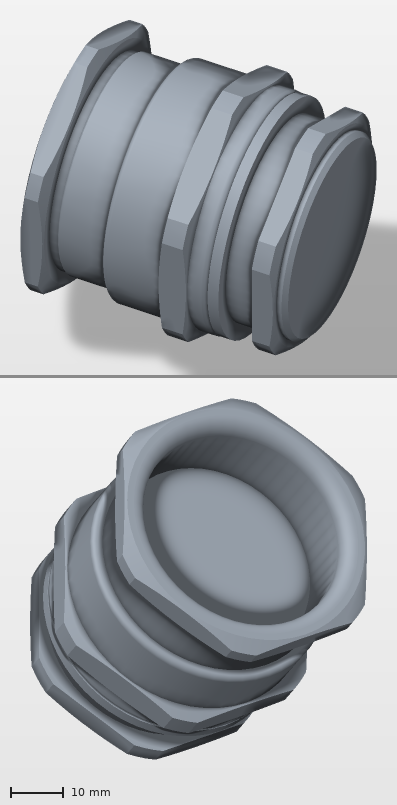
import cadquery as cq
import math

LENGTH = 53.95

LARGE_CORNER_RADIUS = 27.5
LARGE_ACROSS_FLATS = 50.0
LARGE_FACE_RADIUS = 24.55
ENTRY_NUT_START = 0.0
ENTRY_NUT_END = 4.95
ENTRY_NUT_BEVEL = 1.1
MIDDLE_HEX_START = 29.0
MIDDLE_HEX_END = 35.0
MIDDLE_HEX_BEVEL = 0.8

LOCK_NUT_START = 47.5
LOCK_NUT_END = 52.05
LOCK_NUT_BEVEL = 0.8
LOCK_NUT_CORNER_RADIUS = 24.6
LOCK_NUT_ACROSS_FLATS = 45.2
LOCK_NUT_FACE_RADIUS = 22.35

RELIEF_RADIUS = 22.05
RELIEF_END = 6.65
SLEEVE_RADIUS = 22.5
BODY_START = 16.95
BODY_RADIUS = 24.6
BODY_START_ROUND = 1.05
BODY_END_ROUND = 1.25
BODY_END = 39.1
WASHER_RADIUS = 24.4
WASHER_END = 41.35
THREAD_RADIUS = 21.0
THREAD_CHAMFER = 0.95

BORE_RADIUS = 20.3
BORE_DEPTH = 16.8
MOUTH_ROUND = 2.85


def cylinder(start, end, radius):
    """Solid cylinder on the X axis between two stations."""
    return cq.Workplane("YZ", origin=(start, 0, 0)).circle(radius).extrude(end - start)


def hexagon(start, end, across_flats, corner_radius, face_radius, start_bevel, end_bevel):
    """Hexagon with corners on +Z and -Z, turned down to a round, bevelled blank."""
    corner_to_corner = across_flats / math.cos(math.pi / 6)
    prism = (
        cq.Workplane("YZ", origin=(start, 0, 0))
        .transformed(rotate=(0, 0, 90))
        .polygon(6, corner_to_corner)
        .extrude(end - start)
    )
    blank = cq.Workplane("XY").moveTo(start, 0)
    if start_bevel > 0:
        blank = blank.lineTo(start, face_radius)
    blank = (
        blank.lineTo(start + start_bevel, corner_radius)
        .lineTo(end - end_bevel, corner_radius)
        .lineTo(end, face_radius)
        .lineTo(end, 0)
        .close()
        .revolve(360, (0, 0, 0), (1, 0, 0))
    )
    return prism.intersect(blank)


def large_hexagon(start, end, bevel):
    return hexagon(start, end, LARGE_ACROSS_FLATS, LARGE_CORNER_RADIUS, LARGE_FACE_RADIUS, bevel, bevel)


def stepped_body():
    """Round core of the part, from the entry relief to the chamfered thread end."""
    relief = cylinder(ENTRY_NUT_START, RELIEF_END, RELIEF_RADIUS)
    sleeve = cylinder(RELIEF_END, BODY_START, SLEEVE_RADIUS)
    sleeve = sleeve.faces("<X").chamfer(SLEEVE_RADIUS - RELIEF_RADIUS)
    body = cylinder(BODY_START, BODY_END, BODY_RADIUS)
    body = body.faces("<X").edges().fillet(BODY_START_ROUND)
    body = body.faces(">X").edges().fillet(BODY_END_ROUND)
    washer = cylinder(BODY_END, WASHER_END, WASHER_RADIUS)
    thread = cylinder(WASHER_END, LENGTH, THREAD_RADIUS).faces(">X").chamfer(THREAD_CHAMFER)
    return relief.union(sleeve).union(body).union(washer).union(thread)


def bore():
    """Blind bore whose mouth flares out in a quarter round."""
    mouth_radius = BORE_RADIUS + MOUTH_ROUND
    arc_offset = MOUTH_ROUND * (1 - math.sqrt(0.5))
    return (
        cq.Workplane("XY")
        .lineTo(0, mouth_radius)
        .threePointArc((arc_offset, BORE_RADIUS + arc_offset), (MOUTH_ROUND, BORE_RADIUS))
        .lineTo(BORE_DEPTH, BORE_RADIUS)
        .lineTo(BORE_DEPTH, 0)
        .close()
        .revolve(360, (0, 0, 0), (1, 0, 0))
    )


entry_nut = large_hexagon(ENTRY_NUT_START, ENTRY_NUT_END, ENTRY_NUT_BEVEL)
middle_hex = large_hexagon(MIDDLE_HEX_START, MIDDLE_HEX_END, MIDDLE_HEX_BEVEL)
lock_nut = hexagon(
    LOCK_NUT_START,
    LOCK_NUT_END,
    LOCK_NUT_ACROSS_FLATS,
    LOCK_NUT_CORNER_RADIUS,
    LOCK_NUT_FACE_RADIUS,
    0,
    LOCK_NUT_BEVEL,
)

result = stepped_body().union(entry_nut).union(middle_hex).union(lock_nut).cut(bore())